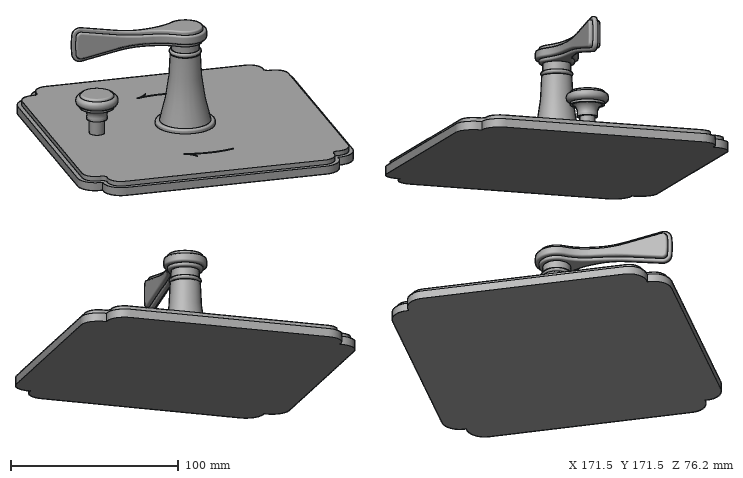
import cadquery as cq
import math

PLATE_SIZE = 171.5
BASE_HEIGHT = 5.1
PLATE_HEIGHT = 8.0
STEP_INSET = 2.7
NOTCH = 12.3
CORNER_RADIUS = 11.0

FLANGE_RADIUS = 18.0
FLANGE_TOP = 10.5
FLANGE_ROUND = 1.2
BELL_FOOT_RADIUS = 15.5
BELL_TOP_RADIUS = 9.1
BELL_TOP = 53.0
BEAD_RADIUS = 9.6
BEAD_TOP = 55.7
NECK_RADIUS = 8.4

LEVER_Z = 65.5
HEAD_RADIUS = 12.9
HEAD_HALF_HEIGHT = 5.0
HEAD_BLEND_ANGLE = 35.0
GRIP_HALF_WIDTH = 5.1
GRIP_START = 20.5
BLADE_HALF_WIDTH = 3.6
BLADE_START = 41.8
LEVER_TIP = 71.0
LEVER_STEP = 2.2
CORE_ROUND = 1.2
BAND_ROUND = 1.0
FLARE_START = 24.9
FLARE_ANGLE = 10.5
FLARE_BEND_RADIUS = 106.3
TIP_CORNER = 69.8
TIP_CORNER_RADIUS = 5.0

KNOB_Y = -55.0
STEM_RADIUS = 4.6
COLLAR_RADIUS = 6.2
COLLAR_BOTTOM = 17.1
COLLAR_TOP = 18.5
COVE_TOP_RADIUS = 9.0
LIP_RADIUS = 10.3
LIP_BOTTOM = 24.3
BULGE_BOTTOM = 25.7
BULGE_TOP = 31.5
BULGE_RADIUS = 12.7
BULGE_RIM_HEIGHT = 0.3
KNOB_TOP = 33.0

ARROW_RADIUS = 51.0
ARROW_HALF_ANGLE = 17.5
ARROW_WIDTH = 0.5
ARROW_DEPTH = 0.3
BARB_MIDDLE = (50.7, -11.5)
BARB_END = (54.5, -8.5)

OVERRUN = 8.5
DIAGONAL = math.sqrt(0.5)


def plate_outline():
    half = PLATE_SIZE / 2
    inner = half - NOTCH
    flat = inner - CORNER_RADIUS
    bulge = flat + CORNER_RADIUS * DIAGONAL
    rim = half - CORNER_RADIUS
    rim_bulge = rim + CORNER_RADIUS * DIAGONAL
    corner = [
        (flat, half),
        (bulge, rim_bulge),
        (inner, rim),
        (inner, inner),
        (rim, inner),
        (rim_bulge, bulge),
        (half, flat),
    ]
    outline = cq.Workplane("XY").moveTo(-flat, half)
    for quarter in range(4):
        turn = -quarter * math.pi / 2
        cosine = math.cos(turn)
        sine = math.sin(turn)
        start, bend, end, notch, next_start, next_bend, next_end = [
            (x * cosine - y * sine, x * sine + y * cosine) for x, y in corner
        ]
        outline = outline.lineTo(*start).threePointArc(bend, end).lineTo(*notch)
        outline = outline.lineTo(*next_start).threePointArc(next_bend, next_end)
    return outline.close()


def wall_plate():
    base = plate_outline().extrude(BASE_HEIGHT)
    upper = plate_outline().offset2D(-STEP_INSET).extrude(PLATE_HEIGHT)
    return base.union(upper)


def revolve_about_z(profile):
    return profile.close().revolve(360, (0, 0, 0), (0, 1, 0))


def bell_arc_radius():
    """Radius of the bell's concave side, which is upright where it meets the bead."""
    spread = BELL_FOOT_RADIUS - BELL_TOP_RADIUS
    rise = BELL_TOP - FLANGE_TOP
    return (spread**2 + rise**2) / (2 * spread)


def housing():
    flange = (
        cq.Workplane("XY")
        .circle(FLANGE_RADIUS)
        .extrude(FLANGE_TOP)
        .faces(">Z")
        .edges()
        .fillet(FLANGE_ROUND)
    )
    bead_round = (BEAD_TOP - BELL_TOP) / 2
    bead_flat = BEAD_RADIUS - bead_round
    turned = revolve_about_z(
        cq.Workplane("XZ")
        .moveTo(0, 0)
        .lineTo(BELL_FOOT_RADIUS, 0)
        .lineTo(BELL_FOOT_RADIUS, FLANGE_TOP)
        .radiusArc((BELL_TOP_RADIUS, BELL_TOP), bell_arc_radius())
        .lineTo(bead_flat, BELL_TOP)
        .threePointArc((BEAD_RADIUS, BELL_TOP + bead_round), (bead_flat, BEAD_TOP))
        .lineTo(NECK_RADIUS, BEAD_TOP)
        .lineTo(NECK_RADIUS, LEVER_Z)
        .lineTo(0, LEVER_Z)
    )
    return flange.union(turned)


def lever_plan():
    """Lever seen from above: round head, concave shoulders, grip tapering to a parallel blade."""
    angle = math.radians(HEAD_BLEND_ANGLE)
    blend_x = HEAD_RADIUS * math.cos(angle)
    blend_y = -HEAD_RADIUS * math.sin(angle)
    end = -LEVER_TIP - OVERRUN
    half = (
        cq.Workplane("XY")
        .moveTo(0, HEAD_RADIUS)
        .threePointArc((HEAD_RADIUS * DIAGONAL, HEAD_RADIUS * DIAGONAL), (blend_x, blend_y))
        .tangentArcPoint((GRIP_HALF_WIDTH, -GRIP_START), relative=False)
        .tangentArcPoint((BLADE_HALF_WIDTH, -BLADE_START), relative=False)
        .lineTo(BLADE_HALF_WIDTH, end)
        .lineTo(0, end)
    )
    return half.mirrorY()


def lever_side():
    """Lever seen from the side, in (y, height above its axis): level grip flaring to the tip."""
    angle = math.radians(FLARE_ANGLE)
    back = HEAD_RADIUS + OVERRUN
    bend_y = -FLARE_START - FLARE_BEND_RADIUS * math.sin(angle)
    bend_z = HEAD_HALF_HEIGHT + FLARE_BEND_RADIUS * (1 - math.cos(angle))
    corner_z = bend_z + (TIP_CORNER + bend_y) * math.tan(angle)
    return (
        cq.Workplane("YZ")
        .moveTo(back, HEAD_HALF_HEIGHT)
        .lineTo(-FLARE_START, HEAD_HALF_HEIGHT)
        .tangentArcPoint((bend_y, bend_z), relative=False)
        .lineTo(-TIP_CORNER, corner_z)
        .threePointArc((-LEVER_TIP, 0), (-TIP_CORNER, -corner_z))
        .lineTo(bend_y, -bend_z)
        .radiusArc((-FLARE_START, -HEAD_HALF_HEIGHT), FLARE_BEND_RADIUS)
        .lineTo(back, -HEAD_HALF_HEIGHT)
        .close()
    )


def lever_layer(plan, side, corner_radius, edge_round):
    slab = plan.extrude(PLATE_SIZE / 2, both=True)
    blade = side.extrude(PLATE_SIZE / 2, both=True).edges("|X").edges("<Y").fillet(corner_radius)
    layer = slab.intersect(blade)
    return layer.edges().fillet(edge_round)


def lever():
    core = lever_layer(
        lever_plan(), lever_side().offset2D(-LEVER_STEP), TIP_CORNER_RADIUS - LEVER_STEP, CORE_ROUND
    )
    band = lever_layer(lever_plan().offset2D(-LEVER_STEP), lever_side(), TIP_CORNER_RADIUS, BAND_ROUND)
    return core.union(band).translate((0, 0, LEVER_Z))


def knob():
    cove_reach = (COVE_TOP_RADIUS - COLLAR_RADIUS) * (1 - DIAGONAL)
    cove_middle = (COLLAR_RADIUS + cove_reach, COLLAR_TOP + (LIP_BOTTOM - COLLAR_TOP) * DIAGONAL)
    rim_bottom = (BULGE_BOTTOM + BULGE_TOP - BULGE_RIM_HEIGHT) / 2
    rim_top = rim_bottom + BULGE_RIM_HEIGHT
    bulge_round = BULGE_TOP - rim_top
    top_round = KNOB_TOP - BULGE_TOP
    turned = revolve_about_z(
        cq.Workplane("XZ")
        .lineTo(STEM_RADIUS, 0)
        .lineTo(STEM_RADIUS, COLLAR_BOTTOM)
        .lineTo(COLLAR_RADIUS, COLLAR_BOTTOM)
        .lineTo(COLLAR_RADIUS, COLLAR_TOP)
        .threePointArc(cove_middle, (COVE_TOP_RADIUS, LIP_BOTTOM))
        .lineTo(LIP_RADIUS, LIP_BOTTOM)
        .lineTo(LIP_RADIUS, BULGE_BOTTOM)
        .radiusArc((BULGE_RADIUS, rim_bottom), -bulge_round)
        .lineTo(BULGE_RADIUS, rim_top)
        .radiusArc((LIP_RADIUS, BULGE_TOP), -bulge_round)
        .radiusArc((LIP_RADIUS - top_round, KNOB_TOP), -top_round)
        .lineTo(0, KNOB_TOP)
    )
    return turned.translate((0, KNOB_Y, 0))


def arrow_groove():
    """Curved arrow on the +X side: a groove along the circle with a crescent barb at its -Y tip."""
    half_width = ARROW_WIDTH / 2
    groove_floor = PLATE_HEIGHT - ARROW_DEPTH
    ring = (
        cq.Workplane("XY", origin=(0, 0, groove_floor))
        .circle(ARROW_RADIUS + half_width)
        .circle(ARROW_RADIUS - half_width)
        .extrude(OVERRUN)
    )
    reach = ARROW_RADIUS + OVERRUN
    rise = reach * math.tan(math.radians(ARROW_HALF_ANGLE))
    wedge = cq.Workplane("XY").polyline([(0, 0), (reach, -rise), (reach, rise)]).close().extrude(PLATE_SIZE)
    shaft = ring.intersect(wedge)
    tip_angle = math.radians(ARROW_HALF_ANGLE)
    tip = (ARROW_RADIUS * math.cos(tip_angle), -ARROW_RADIUS * math.sin(tip_angle))
    middle_x, middle_y = BARB_MIDDLE
    barb = (
        cq.Workplane("XY", origin=(0, 0, groove_floor))
        .moveTo(*tip)
        .threePointArc((middle_x - half_width, middle_y), BARB_END)
        .threePointArc((middle_x + half_width, middle_y), tip)
        .close()
        .extrude(OVERRUN)
    )
    return shaft.union(barb)


right_arrow = arrow_groove()
result = (
    wall_plate()
    .cut(right_arrow)
    .cut(right_arrow.mirror("YZ"))
    .union(housing())
    .union(knob())
    .union(lever())
)